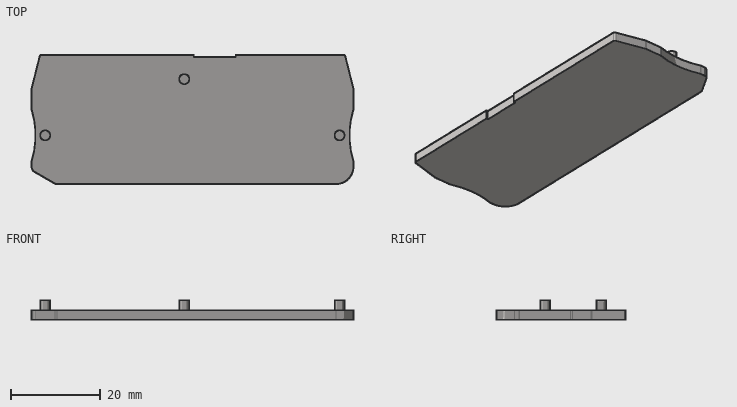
import cadquery as cq
import math

LENGTH = 72.2
WIDTH = 29.0
THICKNESS = 2.2

KNEE_Y = 21.3
TAPER_RUN = 1.93
KNEE_RADIUS = 1.0
TIP_RADIUS = 0.5

WAIST_Y = 10.95
WAIST_HALF_HEIGHT = 5.85
WAIST_DEPTH = 0.9
WAIST_TOP = WAIST_Y + WAIST_HALF_HEIGHT
WAIST_BOTTOM = WAIST_Y - WAIST_HALF_HEIGHT
WAIST_UPPER_RADIUS = 1.3
WAIST_LOWER_RADIUS = 0.6

SLOPE_ANGLE = 30.0
SLOPE_RISE = 3.15
SLOPE_RUN = SLOPE_RISE / math.tan(math.radians(SLOPE_ANGLE))
SLOPE_UPPER_RADIUS = 1.5
SLOPE_LOWER_RADIUS = 0.75
ROUND_CORNER_RADIUS = 4.0

NOTCH_START = 36.4
NOTCH_END = 45.75
NOTCH_DEPTH = 0.45

PIN_DIAMETER = 2.25
PIN_HEIGHT = 2.2
PIN_CENTERS = [(3.1, 10.95), (34.25, 23.55), (69.05, 10.95)]


def sharp_plate():
    """Plate with its concave ends and top notch, before its corners are rounded."""
    notch_floor = WIDTH - NOTCH_DEPTH
    return (
        cq.Workplane("XY")
        .moveTo(SLOPE_RUN, 0)
        .lineTo(LENGTH, 0)
        .lineTo(LENGTH, WAIST_BOTTOM)
        .threePointArc((LENGTH - WAIST_DEPTH, WAIST_Y), (LENGTH, WAIST_TOP))
        .lineTo(LENGTH, KNEE_Y)
        .lineTo(LENGTH - TAPER_RUN, WIDTH)
        .lineTo(NOTCH_END, WIDTH)
        .lineTo(NOTCH_END, notch_floor)
        .lineTo(NOTCH_START, notch_floor)
        .lineTo(NOTCH_START, WIDTH)
        .lineTo(TAPER_RUN, WIDTH)
        .lineTo(0, KNEE_Y)
        .lineTo(0, WAIST_TOP)
        .threePointArc((WAIST_DEPTH, WAIST_Y), (0, WAIST_BOTTOM))
        .lineTo(0, SLOPE_RISE)
        .close()
        .extrude(THICKNESS)
    )


def round_corner(plate, x, y, radius):
    """Round the vertical plate edge nearest to (x, y)."""
    corner = cq.selectors.NearestToPointSelector((x, y, THICKNESS / 2))
    return plate.edges("|Z").edges(corner).fillet(radius)


def rounded_plate():
    """Plate with both ends rounded alike, apart from the two lower corners."""
    plate = sharp_plate()
    for end_x, tip_x in [(0, TAPER_RUN), (LENGTH, LENGTH - TAPER_RUN)]:
        plate = round_corner(plate, tip_x, WIDTH, TIP_RADIUS)
        plate = round_corner(plate, end_x, KNEE_Y, KNEE_RADIUS)
        plate = round_corner(plate, end_x, WAIST_TOP, WAIST_UPPER_RADIUS)
        plate = round_corner(plate, end_x, WAIST_BOTTOM, WAIST_LOWER_RADIUS)
    plate = round_corner(plate, 0, SLOPE_RISE, SLOPE_UPPER_RADIUS)
    plate = round_corner(plate, SLOPE_RUN, 0, SLOPE_LOWER_RADIUS)
    return round_corner(plate, LENGTH, 0, ROUND_CORNER_RADIUS)


def pins():
    """Cylindrical pins, running from the underside of the plate to merge with it."""
    return (
        cq.Workplane("XY")
        .pushPoints(PIN_CENTERS)
        .circle(PIN_DIAMETER / 2)
        .extrude(THICKNESS + PIN_HEIGHT)
    )


result = rounded_plate().union(pins())